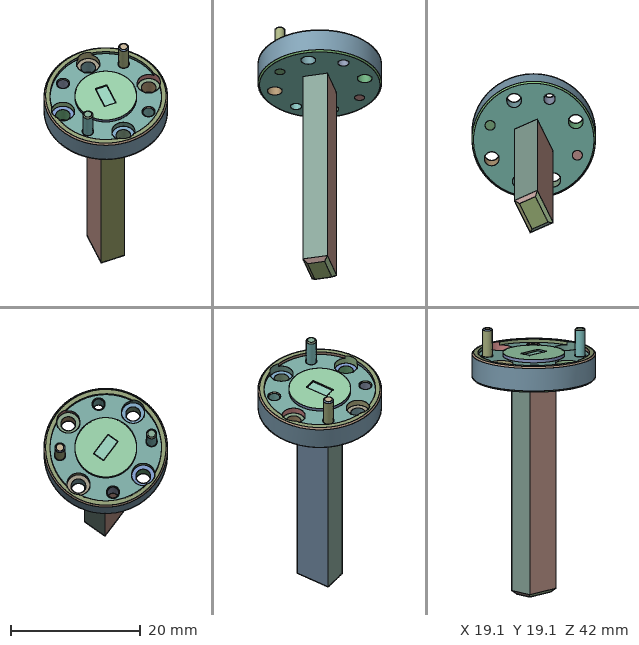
import cadquery as cq
import math

FLANGE_DIAMETER = 19.05
FLANGE_THICKNESS = 4.06
FLANGE_CHAMFER = 0.25

RECESS_OUTER_DIAMETER = 17.17
BOSS_DIAMETER = FLANGE_DIAMETER / 2
RECESS_DEPTH = 0.5
RECESS_FLOOR = FLANGE_THICKNESS - RECESS_DEPTH

HOLE_CIRCLE_RADIUS = 7.14
SCREW_HOLE_DIAMETER = 2.26
COUNTERBORE_DIAMETER = 3.58
COUNTERBORE_DEPTH = 1.5
SCREW_ANGLES = (0, 90, 180, 270)

PIN_DIAMETER = 1.56
PIN_HEIGHT = 3.8
PIN_CHAMFER = 0.2
PIN_HOLE_CHAMFER = 0.1
PIN_ANGLES = (135, 315)
DOWEL_HOLE_DIAMETER = 1.72
DOWEL_HOLE_ANGLES = (45, 225)
DOWEL_HOLE_CHAMFER = 0.15

OVERALL_HEIGHT = 41.97
BODY_WIDTH = 5.79
BODY_DEPTH = 3.91
BODY_LENGTH = OVERALL_HEIGHT - FLANGE_THICKNESS - PIN_HEIGHT
BODY_CHAMFER = 0.6
APERTURE_WIDTH = 3.76
APERTURE_HEIGHT = APERTURE_WIDTH / 2
APERTURE_DEPTH = 0.25


def circle_points(angles):
    """Points on the hole circle at the given angles in degrees."""
    return [
        (
            HOLE_CIRCLE_RADIUS * math.cos(math.radians(angle)),
            HOLE_CIRCLE_RADIUS * math.sin(math.radians(angle)),
        )
        for angle in angles
    ]


def cylinders(angles, diameter, bottom, height):
    """Vertical cylinders standing on the hole circle."""
    return (
        cq.Workplane("XY", origin=(0, 0, bottom))
        .pushPoints(circle_points(angles))
        .circle(diameter / 2)
        .extrude(height)
    )


def make_flange_disc():
    disc = (
        cq.Workplane("XY")
        .circle(FLANGE_DIAMETER / 2)
        .extrude(FLANGE_THICKNESS)
        .edges()
        .chamfer(FLANGE_CHAMFER)
    )
    recess = (
        cq.Workplane("XY", origin=(0, 0, RECESS_FLOOR))
        .circle(RECESS_OUTER_DIAMETER / 2)
        .circle(BOSS_DIAMETER / 2)
        .extrude(RECESS_DEPTH)
    )
    return disc.cut(recess)


def make_waveguide_body():
    return (
        cq.Workplane("XY")
        .rect(BODY_WIDTH, BODY_DEPTH)
        .extrude(-BODY_LENGTH)
        .faces("<Z")
        .chamfer(BODY_CHAMFER)
    )


def cut_screw_holes(housing):
    holes = cylinders(SCREW_ANGLES, SCREW_HOLE_DIAMETER, 0, FLANGE_THICKNESS)
    counterbore_floor = FLANGE_THICKNESS - COUNTERBORE_DEPTH
    counterbores = cylinders(SCREW_ANGLES, COUNTERBORE_DIAMETER, counterbore_floor, COUNTERBORE_DEPTH)
    return housing.cut(holes).cut(counterbores)


def cut_dowel_holes(housing, angles, diameter, chamfer):
    """Through holes with a small countersink at the recess floor."""
    holes = cylinders(angles, diameter, 0, RECESS_FLOOR)
    hole_radius = diameter / 2
    countersink_bottom = cq.Vector(0, 0, RECESS_FLOOR - chamfer)
    countersink = cq.Solid.makeCone(hole_radius, hole_radius + chamfer, chamfer, pnt=countersink_bottom)
    countersinks = cq.Workplane("XY").pushPoints(circle_points(angles)).eachpoint(countersink)
    return housing.cut(holes).cut(countersinks)


def cut_aperture(housing):
    aperture = (
        cq.Workplane("XY", origin=(0, 0, FLANGE_THICKNESS))
        .rect(APERTURE_WIDTH, APERTURE_HEIGHT)
        .extrude(-APERTURE_DEPTH)
    )
    return housing.cut(aperture)


def make_housing():
    housing = make_flange_disc().union(make_waveguide_body())
    housing = cut_screw_holes(housing)
    housing = cut_dowel_holes(housing, DOWEL_HOLE_ANGLES, DOWEL_HOLE_DIAMETER, DOWEL_HOLE_CHAMFER)
    housing = cut_dowel_holes(housing, PIN_ANGLES, PIN_DIAMETER, PIN_HOLE_CHAMFER)
    return cut_aperture(housing)


def make_pins():
    """Dowel pins filling their holes from the rear face to above the flange."""
    return cylinders(PIN_ANGLES, PIN_DIAMETER, 0, FLANGE_THICKNESS + PIN_HEIGHT).faces(">Z").chamfer(PIN_CHAMFER)


housing = make_housing()
pins = make_pins()

result = cq.Compound.makeCompound([housing.val(), *pins.vals()])